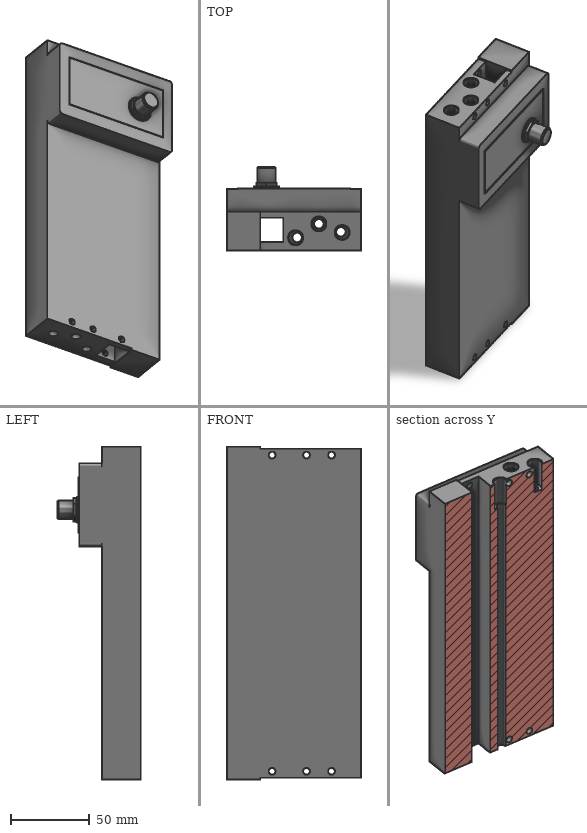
import cadquery as cq
import math

BODY_WIDTH = 86.0
BODY_DEPTH = 25.0
BODY_HEIGHT = 213.0

COLUMN_WIDTH = 21.5
END_SETBACK = 1.2
PORT_TOP = BODY_HEIGHT - END_SETBACK

CHANNEL_WIDTH = 14.5
CHANNEL_FRONT = 5.5
CHANNEL_BACK = 21.0

PORT_DIAMETER = 8.8
PORT_CHAMFER = 0.45
PORT_DEPTH = 20.0
BORE_DIAMETER = 6.0
PORTS = [
    ((44.0, 8.2), (45.0, 8.4)),
    ((58.9, 17.1), (58.9, 17.1)),
    ((73.8, 11.6), (73.0, 12.0)),
]

MOUNT_DIAMETER = 4.2
MOUNT_X = [29.0, 51.0, 67.0]
MOUNT_END_DISTANCE = 5.4

HOUSING_TOP = 202.5
HOUSING_HEIGHT = 53.5
HOUSING_DEPTH = 14.5
HOUSING_CORNER_RADIUS = 2.0
HOUSING_BACK = BODY_DEPTH + HOUSING_DEPTH
HOUSING_CENTER_Z = HOUSING_TOP - HOUSING_HEIGHT / 2

PLATE_WIDTH = 72.0
PLATE_HEIGHT = 35.5
PLATE_THICKNESS = 0.5
PLATE_BACK = HOUSING_BACK + PLATE_THICKNESS

CONNECTOR_X = 25.4
CONNECTOR_Z = 172.6
CONNECTOR_END = 53.6
WASHER_DIAMETER = 16.5
WASHER_THICKNESS = 1.2
WASHER_CHAMFER = 0.4
HEX_ACROSS_FLATS = 13.3
HEX_END = 43.3
BARREL_DIAMETER = 12.0
BARREL_CHAMFER_LENGTH = 1.0
BARREL_CHAMFER_INSET = 0.75


def block(x0, x1, y0, y1, z0, z1):
    """Axis-aligned box between two opposite corners."""
    return cq.Workplane("XY").box(x1 - x0, y1 - y0, z1 - z0, centered=False).translate((x0, y0, z0))


def back_plane(x, y, z):
    """Workplane facing +Y, with its origin at the given point."""
    return cq.Workplane("XZ", origin=(x, y, z))


def make_body():
    column = block(0, COLUMN_WIDTH, 0, BODY_DEPTH, 0, BODY_HEIGHT)
    port_section = block(COLUMN_WIDTH, BODY_WIDTH, 0, BODY_DEPTH, END_SETBACK, PORT_TOP)
    return column.union(port_section)


def make_channel():
    channel_right = COLUMN_WIDTH + CHANNEL_WIDTH
    return block(COLUMN_WIDTH, channel_right, CHANNEL_FRONT, CHANNEL_BACK, 0, BODY_HEIGHT)


def make_port(port_center, bore_center):
    port = (
        cq.Workplane("XY", origin=(*port_center, PORT_TOP - PORT_DEPTH))
        .circle(PORT_DIAMETER / 2)
        .extrude(PORT_DEPTH)
    )
    mouth = cq.Workplane(
        cq.Solid.makeCone(
            PORT_DIAMETER / 2,
            PORT_DIAMETER / 2 + PORT_CHAMFER,
            PORT_CHAMFER,
            pnt=cq.Vector(*port_center, PORT_TOP - PORT_CHAMFER),
        )
    )
    bore = (
        cq.Workplane("XY", origin=(*bore_center, 0))
        .circle(BORE_DIAMETER / 2)
        .extrude(PORT_TOP - PORT_DEPTH)
    )
    return port.union(mouth).union(bore)


def make_mounting_holes():
    rows = (MOUNT_END_DISTANCE, BODY_HEIGHT - MOUNT_END_DISTANCE)
    centers = [(x, z) for x in MOUNT_X for z in rows]
    return back_plane(0, 0, 0).pushPoints(centers).circle(MOUNT_DIAMETER / 2).extrude(-BODY_DEPTH)


def make_housing():
    shell = block(0, BODY_WIDTH, BODY_DEPTH, HOUSING_BACK, HOUSING_TOP - HOUSING_HEIGHT, HOUSING_TOP)
    shell = shell.edges("|Y").fillet(HOUSING_CORNER_RADIUS)
    plate = (
        back_plane(BODY_WIDTH / 2, HOUSING_BACK, HOUSING_CENTER_Z)
        .rect(PLATE_WIDTH, PLATE_HEIGHT)
        .extrude(-PLATE_THICKNESS)
    )
    return shell.union(plate)


def make_connector():
    washer_end = PLATE_BACK + WASHER_THICKNESS
    washer = (
        back_plane(CONNECTOR_X, PLATE_BACK, CONNECTOR_Z)
        .circle(WASHER_DIAMETER / 2)
        .extrude(-WASHER_THICKNESS)
        .faces(">Y")
        .chamfer(WASHER_CHAMFER)
    )
    hex_across_corners = HEX_ACROSS_FLATS / math.cos(math.pi / 6)
    hexagon = (
        back_plane(CONNECTOR_X, washer_end, CONNECTOR_Z)
        .transformed(rotate=(0, 0, 90))
        .polygon(6, hex_across_corners)
        .extrude(washer_end - HEX_END)
    )
    barrel = (
        back_plane(CONNECTOR_X, HEX_END, CONNECTOR_Z)
        .circle(BARREL_DIAMETER / 2)
        .extrude(HEX_END - CONNECTOR_END)
        .faces(">Y")
        .chamfer(BARREL_CHAMFER_LENGTH, BARREL_CHAMFER_INSET)
    )
    return washer.union(hexagon).union(barrel)


result = make_body().cut(make_channel()).cut(make_mounting_holes())
for port_center, bore_center in PORTS:
    result = result.cut(make_port(port_center, bore_center))
result = result.union(make_housing()).union(make_connector())